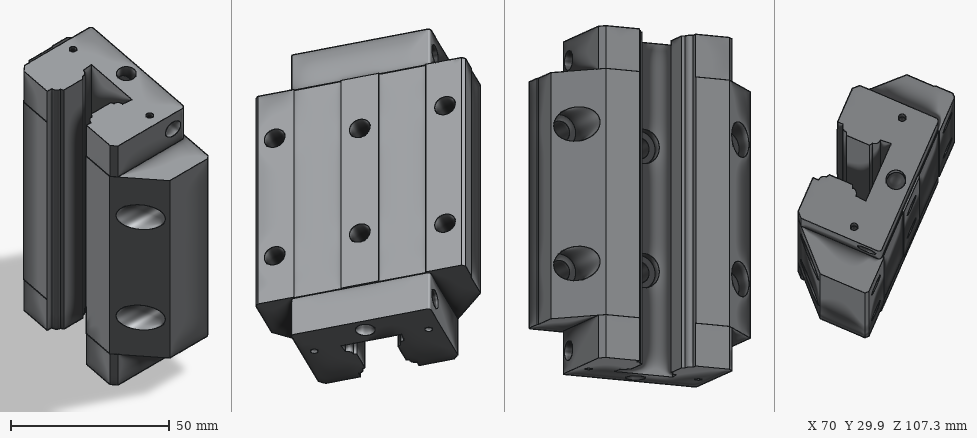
import cadquery as cq
import math


total_length = 107.3
width = 70.0
height = 29.9

carriage_length = 79.6
foot_half = 21.5
edge_chamfer = 1.0
pad_relief = 0.3
side_pad_inner = 22.0
centre_pad_half = 6.3
reference_relief = 0.3
reference_bottom = 22.4
reference_ramp = 0.5

cap_half_width = 23.3
cap_bottom = 0.1
cap_top = 29.3
cap_corner_radius = 1.1

channel_top = 18.5
channel_half = 9.8
roof_half = 10.1
lip_half = 6.9
lip_centre = 8.5
lip_half_height = 4.0
lip_ledge_rise = 0.5
track_radius = 1.9

screw_hole = 6.9
screw_head = 11.0
flange_hole_x = 28.4
flange_hole_z = 22.5
flange_seat = 20.0
centre_hole_z = 20.1
centre_seat_depth = 3.2

port_diameter = 6.2
port_height = 24.5
port_z = 46.9
pin_diameter = 2.4
pin_x = 19.1
pin_height = 18.3
pin_depth = 5.4
drill_point_angle = 118.0

half_width = width / 2
half_length = total_length / 2


def extrude_centred(profile, length):
    """Extrude a closed XY profile symmetrically about Z = 0."""
    return profile.extrude(length / 2, both=True)


def make_carriage():
    relieved_side = half_width - reference_relief
    pad_floor = height - pad_relief
    profile = (
        cq.Workplane("XY")
        .moveTo(-foot_half, 0)
        .lineTo(foot_half, 0)
        .lineTo(half_width, half_width - foot_half)
        .lineTo(half_width, height - edge_chamfer)
        .lineTo(half_width - edge_chamfer, height)
        .lineTo(side_pad_inner, height)
        .lineTo(side_pad_inner, pad_floor)
        .lineTo(centre_pad_half, pad_floor)
        .lineTo(centre_pad_half, height)
        .lineTo(-centre_pad_half, height)
        .lineTo(-centre_pad_half, pad_floor)
        .lineTo(-side_pad_inner, pad_floor)
        .lineTo(-side_pad_inner, height)
        .lineTo(-half_width + edge_chamfer, height)
        .lineTo(-half_width, height - edge_chamfer)
        .lineTo(-half_width, reference_bottom + reference_ramp)
        .lineTo(-relieved_side, reference_bottom)
        .lineTo(-relieved_side, relieved_side - foot_half)
        .close()
    )
    return extrude_centred(profile, carriage_length)


def make_caps():
    """Both end caps as one bar running through the carriage."""
    flank_top = cap_bottom + cap_half_width - foot_half
    profile = (
        cq.Workplane("XY")
        .moveTo(-foot_half, cap_bottom)
        .lineTo(foot_half, cap_bottom)
        .lineTo(cap_half_width, flank_top)
        .lineTo(cap_half_width, cap_top)
        .lineTo(-cap_half_width, cap_top)
        .lineTo(-cap_half_width, flank_top)
        .close()
    )
    bar = extrude_centred(profile, total_length)
    return bar.edges("|Z and >Y").fillet(cap_corner_radius)


def make_channel():
    """Rail channel: a slot narrowed on each side by a lip with rounded ball-track shoulders."""
    lip_low = lip_centre - lip_half_height
    lip_high = lip_centre + lip_half_height
    shoulder_low = lip_low - lip_ledge_rise
    shoulder_high = lip_high + lip_ledge_rise
    shoulder_x = channel_half - track_radius
    arc_offset = track_radius * math.sqrt(0.5)
    half_profile = (
        cq.Workplane("XY")
        .moveTo(0, 0)
        .lineTo(channel_half, 0)
        .lineTo(channel_half, shoulder_low - track_radius)
        .threePointArc(
            (channel_half - arc_offset, shoulder_low - arc_offset),
            (shoulder_x, shoulder_low),
        )
        .lineTo(lip_half, lip_low)
        .lineTo(lip_half, lip_high)
        .lineTo(shoulder_x, shoulder_high)
        .threePointArc(
            (channel_half - arc_offset, shoulder_high + arc_offset),
            (channel_half, shoulder_high + track_radius),
        )
        .lineTo(roof_half, channel_top)
        .lineTo(0, channel_top)
        .close()
    )
    half_channel = extrude_centred(half_profile, total_length)
    return half_channel.union(half_channel.mirror("YZ"))


def screw_cutter(x, z, seat):
    """Through hole along Y with a head bore that opens towards -Y."""
    along_y = cq.Vector(0, 1, 0)
    start = cq.Vector(x, 0, z)
    hole = cq.Solid.makeCylinder(screw_hole / 2, height, start, along_y)
    head = cq.Solid.makeCylinder(screw_head / 2, seat, start, along_y)
    return cq.Workplane(hole.fuse(head))


def port_cutter(end):
    """Cross bore through one cap and the bore that meets it from the end face."""
    radius = port_diameter / 2
    cross_start = cq.Vector(-half_width, port_height, end * port_z)
    cross = cq.Solid.makeCylinder(radius, width, cross_start, cq.Vector(1, 0, 0))
    inlet_start = cq.Vector(0, port_height, end * port_z)
    inlet = cq.Solid.makeCylinder(radius, half_length - port_z, inlet_start, cq.Vector(0, 0, end))
    return cq.Workplane(cross.fuse(inlet))


def pin_cutter(x, end):
    """Blind drilled hole with a conical bottom in one end face."""
    radius = pin_diameter / 2
    point_length = radius / math.tan(math.radians(drill_point_angle / 2))
    inward = cq.Vector(0, 0, -end)
    start = cq.Vector(x, pin_height, end * half_length)
    bore = cq.Solid.makeCylinder(radius, pin_depth, start, inward)
    point = cq.Solid.makeCone(radius, 0, point_length, start + inward * pin_depth, inward)
    return cq.Workplane(bore.fuse(point))


body = make_carriage().union(make_caps()).cut(make_channel())

for z_side in (-1, 1):
    body = body.cut(screw_cutter(0, z_side * centre_hole_z, channel_top + centre_seat_depth))
    body = body.cut(port_cutter(z_side))
    for x_side in (-1, 1):
        body = body.cut(screw_cutter(x_side * flange_hole_x, z_side * flange_hole_z, flange_seat))
        body = body.cut(pin_cutter(x_side * pin_x, z_side))

result = body